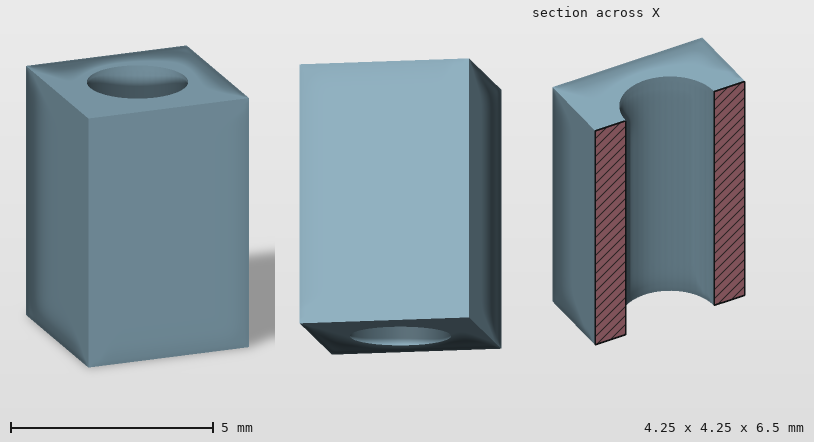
import cadquery as cq

side = 4.25
height = 6.5
bore_diameter = 2.5

body = cq.Workplane("XY").box(side, side, height, centered=(True, True, False))

result = body.faces(">Z").workplane().hole(bore_diameter)